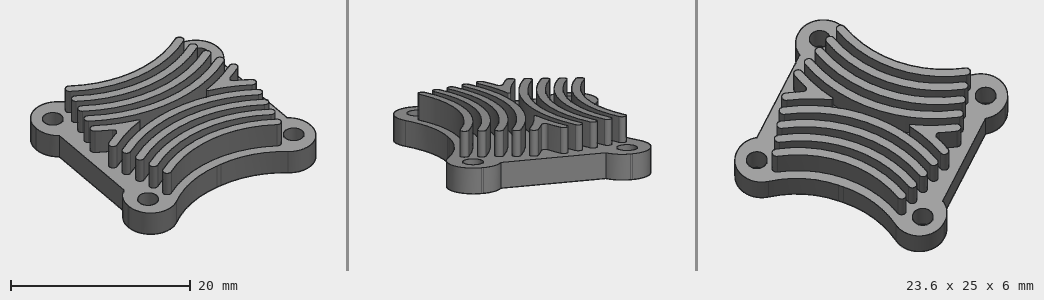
import cadquery as cq
import math

plate_thickness = 3.0
plate_end_y = 11.2
waist_half_width = 8.65
waist_radius = 12.0

lobe_radius = 3.0
lobe_y = 9.5
lobe_outer_x = 8.8
lobe_inner_x = 8.6
hole_x = 9.0
hole_y = 10.0
hole_diameter = 2.3

fin_count = 5
fin_height = 3.0
fin_width = 1.0
first_fin_radius = 14.0
first_fin_center_x = -21.0
fin_step = 1.0
fin_end_apex_y = 10.0
fin_end_slope = math.radians(15)
v_tip_radius = 0.15
v_notch_radius = 0.4


def quarter_outline():
    """Closed outline of the plate's +X +Y quarter, from the waist round to the end edge."""
    waist_x = waist_half_width + waist_radius
    center_distance = waist_radius + lobe_radius
    dx = waist_x - lobe_outer_x
    dy = math.sqrt(center_distance**2 - dx**2)
    waist_y = lobe_y - dy
    half_turn = math.atan2(dy, dx) / 2

    waist_start = (waist_half_width, waist_y)
    waist_middle = (
        waist_x - waist_radius * math.cos(half_turn),
        waist_y + waist_radius * math.sin(half_turn),
    )
    tangent_point = (
        lobe_outer_x + lobe_radius * dx / center_distance,
        lobe_y - lobe_radius * dy / center_distance,
    )
    lobe_side = (lobe_outer_x + lobe_radius, lobe_y)
    lobe_outer_top = (lobe_outer_x, lobe_y + lobe_radius)
    lobe_inner_top = (lobe_inner_x, lobe_y + lobe_radius)

    end_rise = plate_end_y - lobe_y
    end_point = (lobe_inner_x - math.sqrt(lobe_radius**2 - end_rise**2), plate_end_y)
    end_angle = math.pi - math.asin(end_rise / lobe_radius)
    inner_middle_angle = (math.pi / 2 + end_angle) / 2
    inner_middle = (
        lobe_inner_x + lobe_radius * math.cos(inner_middle_angle),
        lobe_y + lobe_radius * math.sin(inner_middle_angle),
    )
    return (
        cq.Workplane("XY")
        .moveTo(0, 0)
        .lineTo(waist_half_width, 0)
        .lineTo(*waist_start)
        .threePointArc(waist_middle, tangent_point)
        .threePointArc(lobe_side, lobe_outer_top)
        .lineTo(*lobe_inner_top)
        .threePointArc(inner_middle, end_point)
        .lineTo(0, plate_end_y)
        .close()
    )


def base_plate():
    quarter = quarter_outline().extrude(plate_thickness)
    half = quarter.union(quarter.mirror("YZ"))
    plate = half.union(half.mirror("XZ")).clean()
    holes = (
        cq.Workplane("XY")
        .rect(2 * hole_x, 2 * hole_y, forConstruction=True)
        .vertices()
        .circle(hole_diameter / 2)
        .extrude(plate_thickness)
    )
    return plate.cut(holes)


def fin_arc(index):
    """Centre X and radius of a fin's centre arc; index 0 is the outermost fin."""
    shift = index * fin_step
    return first_fin_center_x + shift, first_fin_radius + shift


def curved_fin(index):
    """Round-ended fin whose ends lie on the -X side, bowed toward +X."""
    center_x, radius = fin_arc(index)

    along = center_x * math.cos(fin_end_slope) - fin_end_apex_y * math.sin(fin_end_slope)
    offset = center_x * math.sin(fin_end_slope) + fin_end_apex_y * math.cos(fin_end_slope)
    end_distance = along + math.sqrt(radius**2 - offset**2)
    end_y = fin_end_apex_y + end_distance * math.sin(fin_end_slope)
    end_angle = math.asin(end_y / radius)

    inner = radius - fin_width / 2
    outer = radius + fin_width / 2
    cap_reach = fin_width / 2

    def on_arc(arc_radius, angle):
        return (center_x + arc_radius * math.cos(angle), arc_radius * math.sin(angle))

    def cap_tip(side):
        x, y = on_arc(radius, side * end_angle)
        return (x - cap_reach * math.sin(end_angle), y + side * cap_reach * math.cos(end_angle))

    return (
        cq.Workplane("XY")
        .workplane(offset=plate_thickness)
        .moveTo(*on_arc(outer, -end_angle))
        .threePointArc(on_arc(outer, 0), on_arc(outer, end_angle))
        .threePointArc(cap_tip(1), on_arc(inner, end_angle))
        .threePointArc(on_arc(inner, 0), on_arc(inner, -end_angle))
        .threePointArc(cap_tip(-1), on_arc(outer, -end_angle))
        .close()
        .extrude(fin_height)
    )


def v_fins():
    """Innermost fins, trimmed at the centre plane and joined into two V shapes."""
    index = fin_count - 1
    center_x, radius = fin_arc(index)
    tip_y = math.sqrt((radius - fin_width / 2) ** 2 - center_x**2)
    notch_y = math.sqrt((radius + fin_width / 2) ** 2 - center_x**2)

    trim_size = 2 * radius
    negative_x_side = (
        cq.Workplane("XY")
        .box(trim_size, trim_size, trim_size)
        .translate((-trim_size / 2, 0, 0))
    )
    half = curved_fin(index).intersect(negative_x_side)
    joined = half.union(half.mirror("YZ"))

    middle_z = plate_thickness + fin_height / 2
    for edge_y, edge_radius in ((tip_y, v_tip_radius), (notch_y, v_notch_radius)):
        for side in (-1, 1):
            corner = cq.selectors.NearestToPointSelector((0, side * edge_y, middle_z))
            joined = joined.edges("|Z").edges(corner).fillet(edge_radius)
    return joined


result = base_plate()
for fin_index in range(fin_count - 1):
    fin = curved_fin(fin_index)
    result = result.union(fin).union(fin.mirror("YZ"))
result = result.union(v_fins())